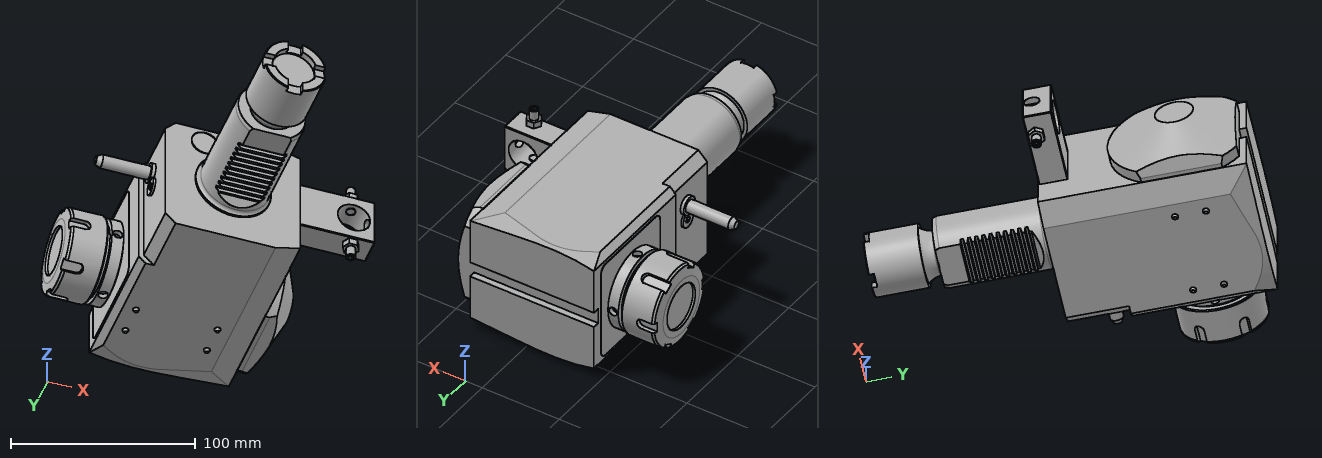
import cadquery as cq
import math


body_length = 115.7
body_height = 75.0
half_height = body_height / 2
body_left = -41.7
body_right = 38.8
foot_left = -body_right
foot_length = 35.2
rear_chamfer = 4.0
foot_chamfer = 5.9
slope_width = 14.5
slope_drop = 4.1
crown_length = 12.2
crown_crest_x = -13.7
crown_rise = 3.3
crown_inner_rise = 2.0
crown_shoulder = 0.65
rear_slot_width = 9.8
rear_slot_depth = 4.1

spindle_y = body_length - 35.8

pad_length = 58.2
pad_height = 63.0
pad_corner = 4.8
pad_thickness = 0.2

nut_face = -74.6
nut_radius = 25.0
nut_nose_length = 1.3
nut_rim_length = 1.5
nut_rim_depth = 0.7
nut_back_bevel = 0.7
nut_back = -52.0
neck_radius = 20.8
collar_front = -49.7
collar_radius = 24.0
collar_back = -43.0
nut_mouth_radius = 18.0
collet_radius = 13.9
collet_recess = 1.5
nut_slot_angles = (90, 150, 210, 270)
upper_slot_angles = (-30, 30)
nut_slot_width = 6.0
nut_slot_end = -62.3
upper_slot_end = -57.5
nut_slot_floor = 22.1
spanner_holes = 4
spanner_hole_radius = 2.5
spanner_hole_depth = 3.3

pin_y = 20.8
pin_z = 16.0
pin_radius = 4.0
pin_tip = -71.6
pin_taper_length = 3.0
pin_tip_radius = 2.4
pin_collar_radius = 5.6
pin_collar_height = 2.2
screw_z = 6.3
screw_radius = 5.0
screw_height = 1.3
screw_socket_radius = 2.0

plug_x = -16.0
plug_z = 28.0
plug_radius = 7.5
plug_recess = 0.5

vent_center_x = -7.0
vent_spacing_x = 46.9
vent_spacing_y = 17.1
vent_radius = 1.7
vent_tip_radius = 0.9
vent_height = 1.5

cap_radius = 40.0
cap_shoulder = 45.4
cap_end = 59.5
cap_end_radius = 10.6
cap_rear_flat = 31.7
cap_half_height = 33.0
cap_bevel_start = 41.5
cap_bevel_angle = 15

arm_end = 82.0
arm_front = 0.7
arm_thickness = 16.0
arm_height = 30.0
arm_edge = 0.5
arm_hole_x = 69.9
arm_hole_radius = 9.3
arm_end_hole_radius = 4.3
stud_y = 5.9
stud_radius = 2.5
stud_reach = 25.4
stud_bevel = 0.5
stud_socket_radius = 1.3
stud_socket_depth = 1.7
stud_tip_projection = 0.7
stud_nut_corners = 9.3
stud_nut_height = 4.0

flange_radius = 21.7
flange_length = 1.0
flange_fillet_length = 2.5
flange_fillet_mid = (20.5, -2.0)
shank_radius = 20.0
shank_end = -63.0
shank_bevel_length = 2.4
shank_bevel_depth = 0.7
flat_z = -16.0
flat_start = -9.3
teeth_start = -11.7
teeth_length = 35.8
tooth_gaps = 10
tooth_pitch = teeth_length / (tooth_gaps - 1)
tooth_depth = 1.7
gap_mouth = 2.5
gap_root = 1.3
neck_end = -71.2
shank_neck_radius = 12.5
shank_neck_straight = 1.3
neck_flare_radius = 15.6
head_radius = 17.8
head_end = -101.3
head_bevel = 0.5
head_bore_radius = 12.2
head_bore_depth = 4.1
drive_slots = 4
drive_slot_width = 8.2
drive_slot_depth = 3.3

cutter_margin = 10.8
join = 2.2


def cylinder_x(radius, x_from, x_to, y, z):
    """Cylinder parallel to X."""
    return cq.Workplane("YZ", origin=(x_from, y, z)).circle(radius).extrude(x_to - x_from)


def revolve_about_x(outline, y, z):
    """Turn an outline of (x, radius) points about an axis parallel to X."""
    return (cq.Workplane("XY", origin=(0, y, z)).polyline(outline).close()
            .revolve(360, (0, 0, 0), (1, 0, 0)))


def housing_section(left, chamfer):
    """Cross-section in X and Z: chamfers on the left, wide bevels on the right."""
    slope_x = body_right - slope_width
    slope_z = half_height - slope_drop
    return [
        (left + chamfer, half_height),
        (slope_x, half_height),
        (body_right, slope_z),
        (body_right, -slope_z),
        (slope_x, -half_height),
        (left + chamfer, -half_height),
        (left, chamfer - half_height),
        (left, half_height - chamfer),
    ]


def crown_cutter():
    """Cutter for the arched bevel on the upper rear edge of the housing."""
    above = half_height + cutter_margin
    left, left_z = body_left, half_height - rear_chamfer
    right, right_z = body_right, half_height - slope_drop
    inner_left = body_left + rear_chamfer
    inner_right = body_right - slope_width
    return (
        cq.Workplane("XZ", origin=(0, body_length, 0))
        .moveTo(left, left_z)
        .spline([(crown_crest_x, left_z + crown_rise),
                 ((crown_crest_x + right) / 2, right_z + crown_shoulder * crown_rise),
                 (right, right_z)], includeCurrent=True)
        .lineTo(right, above).lineTo(left, above).close()
        .workplane(offset=crown_length)
        .moveTo(inner_left, half_height)
        .spline([(crown_crest_x, half_height + crown_inner_rise),
                 ((crown_crest_x + inner_right) / 2, half_height + crown_shoulder * crown_inner_rise),
                 (inner_right, half_height)], includeCurrent=True)
        .lineTo(inner_right, above).lineTo(inner_left, above).close()
        .loft(ruled=True)
    )


def make_housing():
    foot = (cq.Workplane("XZ").polyline(housing_section(foot_left, foot_chamfer)).close()
            .extrude(-foot_length))
    rear = (cq.Workplane("XZ", origin=(0, foot_length, 0))
            .polyline(housing_section(body_left, rear_chamfer)).close()
            .extrude(foot_length - body_length))
    crown = crown_cutter()
    slot = cq.Workplane("XY").box(4 * body_right, 2 * rear_slot_depth, rear_slot_width)
    plug = (cq.Workplane("XZ", origin=(plug_x, 0, plug_z)).circle(plug_radius)
            .extrude(-plug_recess))
    pad = (cq.Workplane("XY").box(2 * pad_thickness, pad_length, pad_height)
           .edges("|X").fillet(pad_corner).translate((body_left, spindle_y, 0)))
    return (foot.union(rear).cut(crown).cut(crown.mirror("XY"))
            .cut(slot.translate((0, body_length, 0))).cut(plug).union(pad))


def make_vents():
    vent = (cq.Workplane("XY").workplane(offset=join).circle(vent_radius).extrude(-join)
            .faces("<Z").workplane().circle(vent_radius)
            .workplane(offset=vent_height).circle(vent_tip_radius).loft(ruled=True))
    places = (cq.Workplane("XY", origin=(vent_center_x, spindle_y, -half_height))
              .rarray(vent_spacing_x, vent_spacing_y, 2, 2))
    return places.eachpoint(lambda place: vent.val().moved(place), combine="a")


def nut_slot(end):
    """Cutter for one round-ended slot on top of the nut, open at the nut face."""
    center = end - nut_slot_width / 2
    floor = cq.Workplane("XY", origin=(center, spindle_y, nut_slot_floor))
    round_end = floor.circle(nut_slot_width / 2).extrude(nut_radius)
    mouth = (floor.center((nut_face - center) / 2, 0)
             .rect(center - nut_face, nut_slot_width).extrude(nut_radius))
    return round_end.union(mouth)


def make_collet_nut():
    outline = [
        (body_left + join, 0),
        (nut_face + collet_recess, 0),
        (nut_face + collet_recess, collet_radius),
        (nut_face, collet_radius),
        (nut_face, nut_mouth_radius),
        (nut_face + nut_nose_length, nut_radius - nut_rim_depth),
        (nut_face + nut_nose_length + nut_rim_length, nut_radius),
        (nut_back - nut_back_bevel, nut_radius),
        (nut_back, nut_radius - nut_back_bevel),
        (nut_back, neck_radius),
        (collar_front, neck_radius),
        (collar_front, collar_radius),
        (collar_back, collar_radius),
        (collar_back, neck_radius),
        (body_left + join, neck_radius),
    ]
    nut = revolve_about_x(outline, spindle_y, 0)
    axis_start = (0, spindle_y, 0)
    axis_end = (1, spindle_y, 0)
    for angle in upper_slot_angles:
        nut = nut.cut(nut_slot(upper_slot_end).rotate(axis_start, axis_end, angle))
    for angle in nut_slot_angles:
        nut = nut.cut(nut_slot(nut_slot_end).rotate(axis_start, axis_end, angle))
    hole = (cq.Workplane("XY", origin=((collar_front + collar_back) / 2, spindle_y, collar_radius))
            .circle(spanner_hole_radius).extrude(-spanner_hole_depth))
    for i in range(spanner_holes):
        nut = nut.cut(hole.rotate(axis_start, axis_end, i * 360 / spanner_holes))
    return nut


def make_pin():
    collar_face = foot_left - pin_collar_height
    outline = [
        (foot_left + join, 0),
        (pin_tip, 0),
        (pin_tip, pin_tip_radius),
        (pin_tip + pin_taper_length, pin_radius),
        (collar_face, pin_radius),
        (collar_face, pin_collar_radius),
        (foot_left + join, pin_collar_radius),
    ]
    return revolve_about_x(outline, pin_y, pin_z)


def make_button_screw():
    head_face = foot_left - screw_height
    head = cylinder_x(screw_radius, foot_left + join, head_face, pin_y, screw_z)
    socket = (cq.Workplane("YZ", origin=(head_face, pin_y, screw_z))
              .polygon(6, 2 * screw_socket_radius).extrude(screw_height))
    return head.cut(socket)


def make_cap():
    outline = [
        (body_right - join, 0),
        (body_right - join, cap_radius),
        (cap_shoulder, cap_radius),
        (cap_end, cap_end_radius),
        (cap_end, 0),
    ]
    cap = revolve_about_x(outline, spindle_y, 0)
    bevel_drop = (cap_end - cap_bevel_start) * math.tan(math.radians(cap_bevel_angle))
    end_half_height = cap_half_height - bevel_drop
    side = [
        (body_right - join, cap_half_height),
        (cap_bevel_start, cap_half_height),
        (cap_end, end_half_height),
        (cap_end, -end_half_height),
        (cap_bevel_start, -cap_half_height),
        (body_right - join, -cap_half_height),
    ]
    envelope = (cq.Workplane("XZ", origin=(0, spindle_y + cap_rear_flat, 0)).polyline(side).close()
                .extrude(cap_rear_flat + cap_radius))
    return cap.intersect(envelope)


def make_stud():
    """Upper set screw with its hexagon lock nut."""
    bottom = arm_hole_radius - stud_tip_projection
    stud = (cq.Workplane("XY", origin=(arm_hole_x, stud_y, bottom)).circle(stud_radius)
            .extrude(stud_reach - bottom).faces(">Z").chamfer(stud_bevel))
    socket = (cq.Workplane("XY", origin=(arm_hole_x, stud_y, stud_reach))
              .polygon(6, 2 * stud_socket_radius).extrude(-stud_socket_depth))
    lock_nut = (cq.Workplane("XY", origin=(arm_hole_x, stud_y, arm_height / 2))
                .polygon(6, stud_nut_corners).extrude(stud_nut_height))
    return stud.union(lock_nut).cut(socket)


def make_arm():
    arm_start = body_right - join
    arm = (cq.Workplane("XY")
           .box(arm_end - arm_start, arm_thickness, arm_height, centered=(False, False, True))
           .translate((arm_start, arm_front, 0))
           .edges("|X or >X").chamfer(arm_edge))
    hole = (cq.Workplane("XZ", origin=(arm_hole_x, 0, 0)).circle(arm_hole_radius)
            .extrude(-2 * arm_thickness))
    end_hole = cylinder_x(arm_end_hole_radius, arm_hole_x, arm_end, stud_y, 0)
    stud = make_stud()
    return arm.cut(hole).cut(end_hole).union(stud).union(stud.mirror("XY"))


def make_shank():
    turned = (
        cq.Workplane("XY")
        .moveTo(0, join).lineTo(flange_radius, join).lineTo(flange_radius, -flange_length)
        .threePointArc(flange_fillet_mid, (shank_radius, -flange_length - flange_fillet_length))
        .lineTo(shank_radius, shank_end + shank_bevel_length)
        .lineTo(shank_radius - shank_bevel_depth, shank_end)
        .lineTo(shank_neck_radius, shank_end)
        .lineTo(shank_neck_radius, shank_end - shank_neck_straight)
        .tangentArcPoint((neck_flare_radius, neck_end), relative=False)
        .lineTo(head_radius, neck_end)
        .lineTo(head_radius, head_end + head_bevel)
        .lineTo(head_radius - head_bevel, head_end)
        .lineTo(0, head_end).close()
        .revolve(360, (0, 0, 0), (0, 1, 0))
    )
    return cut_drive_end(cut_teeth(turned))


def cut_teeth(shank):
    """Flat with a 45 degree run-out and a row of teeth along the underside."""
    below = flange_radius - abs(flat_z)
    flat = (cq.Workplane("YZ", origin=(-flange_radius, 0, 0))
            .polyline([(flat_start, flat_z), (flat_start + below, flat_z - below),
                       (shank_end, flat_z - below), (shank_end, flat_z)]).close()
            .extrude(2 * flange_radius))
    shank = shank.cut(flat)
    for i in range(tooth_gaps):
        y = teeth_start - i * tooth_pitch
        gap = (cq.Workplane("YZ", origin=(-flange_radius, 0, 0))
               .polyline([(y - gap_mouth / 2, flat_z), (y - gap_root / 2, flat_z + tooth_depth),
                          (y + gap_root / 2, flat_z + tooth_depth), (y + gap_mouth / 2, flat_z)]).close()
               .extrude(2 * flange_radius))
        shank = shank.cut(gap)
    return shank


def cut_drive_end(shank):
    """Bore and crossing drive slots in the end of the head."""
    bore = (cq.Workplane("XZ", origin=(0, head_end, 0)).circle(head_bore_radius)
            .extrude(-head_bore_depth))
    shank = shank.cut(bore)
    slot = (cq.Workplane("XY").box(2 * head_radius, 2 * drive_slot_depth, drive_slot_width)
            .translate((head_radius, head_end, 0)))
    for i in range(drive_slots):
        shank = shank.cut(slot.rotate((0, 0, 0), (0, 1, 0), i * 360 / drive_slots))
    return shank


result = make_housing()
for feature in (make_vents(), make_collet_nut(), make_pin(), make_button_screw(),
                make_cap(), make_arm(), make_shank()):
    result = result.union(feature)